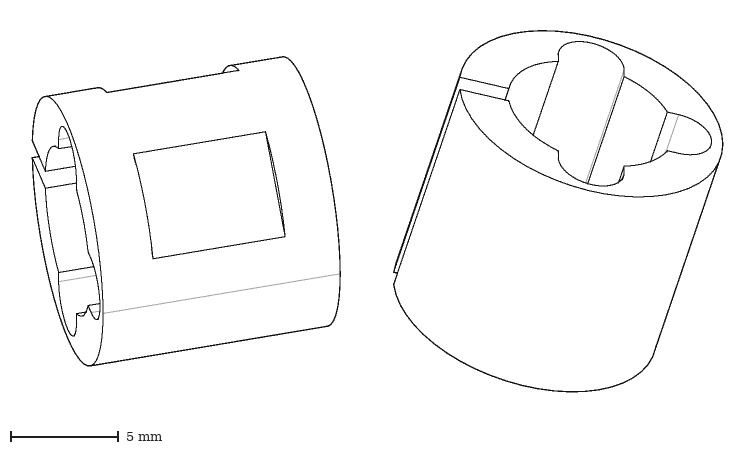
import cadquery as cq
import math

outer_diameter = 12.7
length = 11.4
bore_radius = 4.0
slit_width = 1.0

lobe_width = 3.18
lobe_reach = 5.8
lobe_angles = (0, 90, -90)

flat_length = 6.35
flat_distance = 5.84
flat_angles = (45, 135)

outer_radius = outer_diameter / 2
axis_start = (0, 0, 0)
axis_end = (0, 1, 0)


def turn(solid, angle):
    """Turn a +X feature about the collar axis, from +X toward +Z."""
    return solid.rotate(axis_start, axis_end, -angle)


def cylinder(radius):
    """Cylinder along Y, centred on the origin."""
    return cq.Workplane("XZ").circle(radius).extrude(length / 2, both=True)


def make_lobe():
    """Groove from the axis out to a full-round bottom on the +X side."""
    half_width = lobe_width / 2
    round_centre = lobe_reach - half_width
    return (
        cq.Workplane("XZ")
        .moveTo(0, -half_width)
        .lineTo(round_centre, -half_width)
        .threePointArc((lobe_reach, 0), (round_centre, half_width))
        .lineTo(0, half_width)
        .close()
        .extrude(length / 2, both=True)
    )


def make_flat_cutter():
    """Block removing everything beyond the flat on the +X side."""
    depth = outer_radius - flat_distance
    chord = 2 * math.sqrt(outer_radius**2 - flat_distance**2)
    return (
        cq.Workplane("XY")
        .box(depth, flat_length, chord, centered=(False, True, True))
        .translate((flat_distance, 0, 0))
    )


collar = cylinder(outer_radius).cut(cylinder(bore_radius))

for angle in lobe_angles:
    collar = collar.cut(turn(make_lobe(), angle))

for angle in flat_angles:
    collar = collar.cut(turn(make_flat_cutter(), angle))

slit = (
    cq.Workplane("XY")
    .box(outer_radius, length, slit_width, centered=(False, True, True))
    .translate((-outer_radius, 0, 0))
)
result = collar.cut(slit)